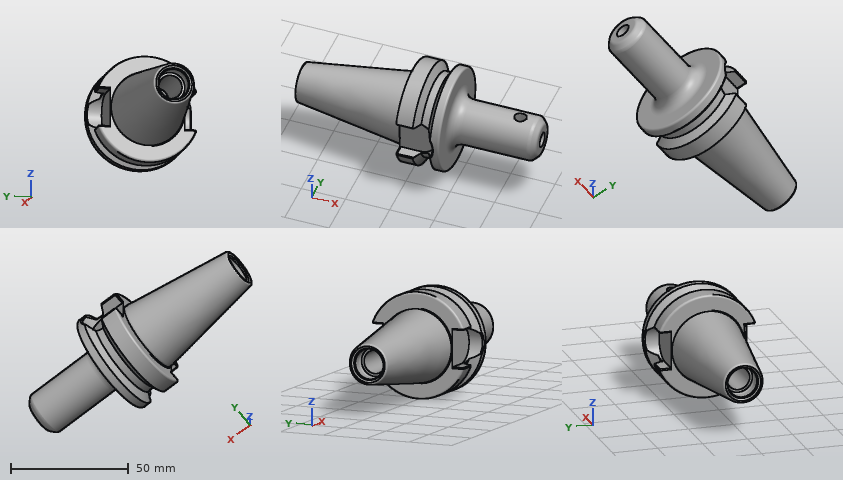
import cadquery as cq
import math

length = 108.7

taper_radius = 15.93
taper_end = 48.9
taper_ratio = 7 / 48
taper_small_radius = taper_radius - taper_ratio * taper_end
taper_tip_fillet = 0.9
flange_root_fillet = 0.3

flange_radius = 46.0 / 2
flange_start = 50.2
flange_end = 70.4
flange_fillet = 1.0
groove_radius = 18.9
groove_floor_start = 60.4
groove_floor_end = 63.9
groove_side_angle = 60.0
groove_side_run = (flange_radius - groove_radius) / math.tan(math.radians(groove_side_angle))

slot_half_width = 8.0
slot_floor = 16.2
slot_end = 67.3
slot_chamfer = 0.5

shank_radius = 19.8 / 2
neck_fillet = 5.1
shank_chamfer = 2.7
shank_fillet = 2.0
cross_hole_diameter = 5.3
cross_hole_x = 99.0

mouth_radius = 7.8
mouth_depth = 0.5
lead_in_radius = 6.9
lead_in_depth = 1.3
counterbore_radius = 13.0 / 2
counterbore_depth = 5.1
entry_radius = 12.5 / 2
thread_radius = 10.1 / 2
entry_start = 6.0
entry_depth = 7.0
thread_depth = 32.6
coolant_radius = 6.3 / 2
drill_point_run = (thread_radius - coolant_radius) / math.tan(math.radians(59))


def revolve_about_x(profile):
    return profile.close().revolve(360, (0, 0, 0), (1, 0, 0))


def circular_edges(body, x, radius):
    """Full-circle edges about the axis at the given station and radius."""
    tolerance = 0.01
    box = cq.selectors.BoxSelector(
        (x - tolerance, -radius - tolerance, -radius - tolerance),
        (x + tolerance, radius + tolerance, radius + tolerance),
        boundingbox=True,
    )
    return body.edges(box).edges(cq.selectors.RadiusNthSelector(-1))


def make_body():
    profile = (
        cq.Workplane("XY")
        .moveTo(0, 0)
        .lineTo(0, taper_small_radius)
        .lineTo(taper_end, taper_radius)
        .lineTo(flange_start, taper_radius)
        .lineTo(flange_start, flange_radius)
        .lineTo(groove_floor_start - groove_side_run, flange_radius)
        .lineTo(groove_floor_start, groove_radius)
        .lineTo(groove_floor_end, groove_radius)
        .lineTo(groove_floor_end + groove_side_run, flange_radius)
        .lineTo(flange_end, flange_radius)
        .lineTo(flange_end, shank_radius)
        .lineTo(length - shank_chamfer, shank_radius)
        .lineTo(length, shank_radius - shank_chamfer)
        .lineTo(length, 0)
    )
    body = revolve_about_x(profile)
    rounded_edges = [
        (0, taper_small_radius, taper_tip_fillet),
        (flange_start, taper_radius, flange_root_fillet),
        (flange_start, flange_radius, flange_fillet),
        (flange_end, flange_radius, flange_fillet),
        (flange_end, shank_radius, neck_fillet),
    ]
    for x, radius, fillet in rounded_edges:
        body = circular_edges(body, x, radius).fillet(fillet)
    chamfer_edges = circular_edges(body, length - shank_chamfer, shank_radius)
    chamfer_edges = chamfer_edges.add(circular_edges(body, length, shank_radius - shank_chamfer))
    return chamfer_edges.fillet(shank_fillet)


def make_slot(side):
    """Round-ended drive slot, open toward the taper, on the +Y or -Y side."""
    arc_center = slot_end - slot_half_width
    return (
        cq.Workplane("XZ", origin=(0, side * slot_floor, 0))
        .moveTo(flange_start, -slot_half_width)
        .lineTo(arc_center, -slot_half_width)
        .threePointArc((slot_end, 0), (arc_center, slot_half_width))
        .lineTo(flange_start, slot_half_width)
        .close()
        .extrude(-side * flange_radius)
    )


def slot_rim_edges(body):
    """Slot edges on the flange rim and on the flange face toward the taper."""
    tolerance = 0.05

    def on_rim(edge):
        middle = edge.positionAt(0.5)
        in_slot = abs(middle.z) < slot_half_width + tolerance and abs(middle.y) > slot_floor + tolerance
        on_cylinder = abs(math.hypot(middle.y, middle.z) - flange_radius) < tolerance
        on_face = abs(middle.x - flange_start) < tolerance
        on_fillet = flange_start < middle.x < flange_start + flange_fillet
        before_end = middle.x < slot_end + tolerance
        on_wall = abs(abs(middle.z) - slot_half_width) < tolerance
        return in_slot and before_end and (on_cylinder or (on_wall and (on_face or on_fillet)))

    return body.newObject([edge for edge in body.edges().vals() if on_rim(edge)])


def make_bore():
    profile = (
        cq.Workplane("XY")
        .moveTo(0, 0)
        .lineTo(0, mouth_radius)
        .lineTo(mouth_depth, lead_in_radius)
        .lineTo(lead_in_depth, counterbore_radius)
        .lineTo(counterbore_depth, counterbore_radius)
        .lineTo(entry_start, entry_radius)
        .lineTo(entry_depth, entry_radius)
        .lineTo(entry_depth, thread_radius)
        .lineTo(thread_depth, thread_radius)
        .lineTo(thread_depth + drill_point_run, coolant_radius)
        .lineTo(length, coolant_radius)
        .lineTo(length, 0)
    )
    return revolve_about_x(profile)


def make_cross_hole():
    """Radial hole from the top of the shank into the bore."""
    return (
        cq.Workplane("XY")
        .center(cross_hole_x, 0)
        .circle(cross_hole_diameter / 2)
        .extrude(shank_radius)
    )


result = make_body()
for slot_side in (-1, 1):
    result = result.cut(make_slot(slot_side))
result = slot_rim_edges(result).chamfer(slot_chamfer)
result = result.cut(make_bore()).cut(make_cross_hole())